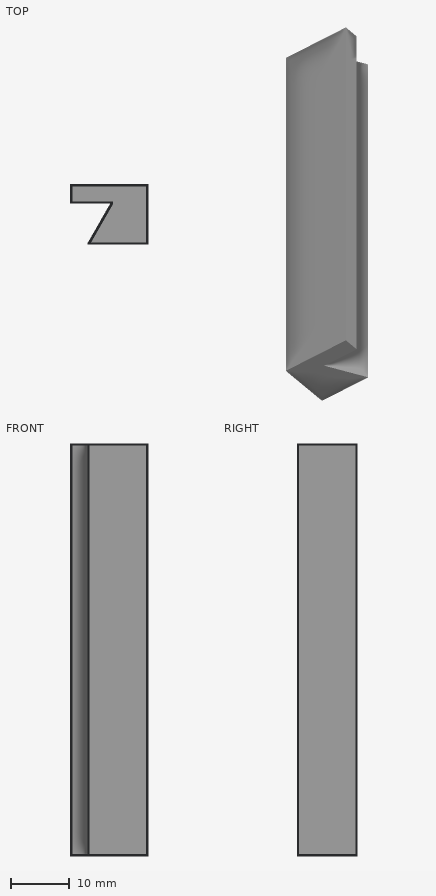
import cadquery as cq

width = 13.0
depth = 10.0
length = 70.0

flange_thickness = 3.0
toe_setback = 3.0
undercut = 4.0

dovetail_height = depth - flange_thickness


def dovetail_profile():
    """Sketch the XY cross-section: a flange with a one-sided dovetail on its -Y side."""
    return (
        cq.Workplane("XY")
        .moveTo(toe_setback, 0)
        .lineTo(width, 0)
        .lineTo(width, depth)
        .lineTo(0, depth)
        .lineTo(0, dovetail_height)
        .lineTo(toe_setback + undercut, dovetail_height)
        .close()
    )


result = dovetail_profile().extrude(length)